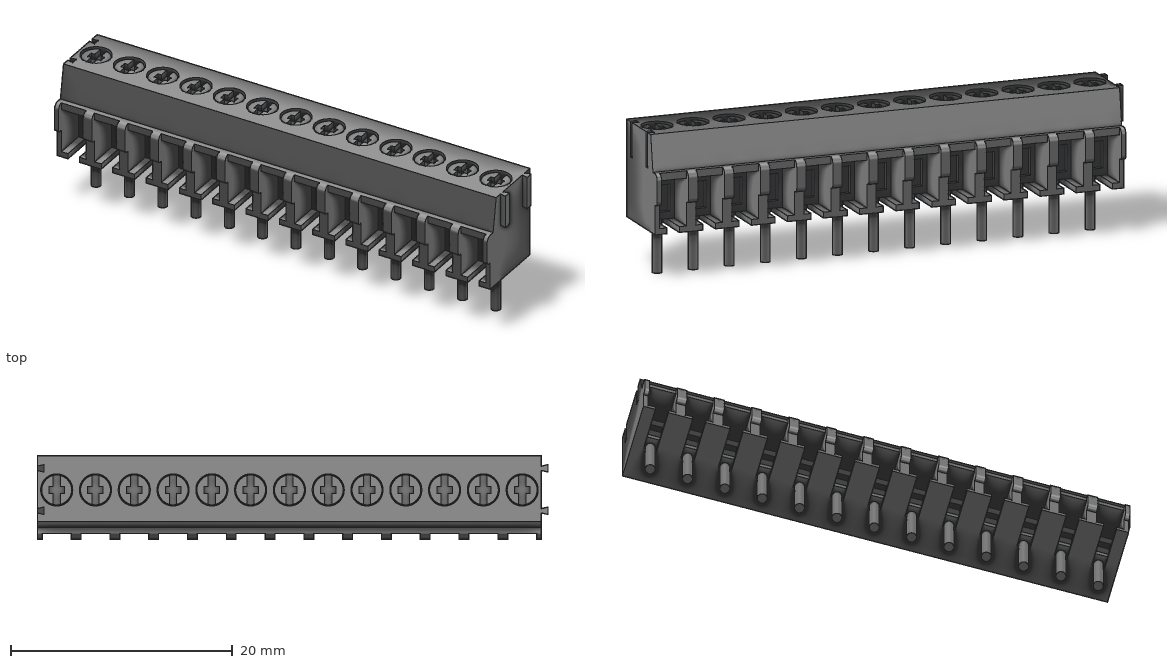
import cadquery as cq
import math

POLES = 13
PITCH = 3.5
END_MARGIN = 1.735
LEFT_X = -END_MARGIN
RIGHT_X = (POLES - 1) * PITCH + END_MARGIN
LENGTH = RIGHT_X - LEFT_X

HEIGHT = 9.1
SHELF_Z = 5.7
BACK_Y = 3.1
FRONT_Y = BACK_Y - 7.05
TOP_EDGE_Y = BACK_Y - 5.95
SHELF_EDGE_Y = BACK_Y - 6.5

RIB_FRONT_Y = BACK_Y - 7.55
RIB_BOTTOM_Z = 2.75
RIB_TOP_RADIUS = 0.6
RIB_BOTTOM_RADIUS = 0.4

ENTRY_WIDTH = 2.6
ENTRY_BOTTOM_Z = 0.55
ENTRY_TOP_Z = 5.0
ENTRY_DEPTH = 3.0
INNER_WIDTH = 1.75
INNER_BOTTOM_Z = 1.22
INNER_TOP_Z = 3.77
INNER_DEPTH = 0.5
NOTCH_WIDTH = 1.2

PIN_DIAMETER = 0.9
PIN_LENGTH = 4.6
PIN_TOP_Z = 1.0

SCREW_HOLE_DIAMETER = 2.9
SCREW_DIAMETER = 2.7
SCREW_RECESS = 0.2
SCREW_GAP_DEPTH = 1.5
SLOT_WIDTH = 0.65
CROSS_LENGTH = 1.4
SLOT_DEPTH = 0.6

DOVETAIL_POSITIONS = (BACK_Y - 1.15, BACK_Y - 4.98)
DOVETAIL_LENGTH = 0.6
DOVETAIL_NECK = 0.4
DOVETAIL_TIP = 0.7
DOVETAIL_HEIGHT = 3.3


def block(x_range, y_range, z_range):
    """Box between the given pairs of limits."""
    sizes = [limits[1] - limits[0] for limits in (x_range, y_range, z_range)]
    corner = (x_range[0], y_range[0], z_range[0])
    return cq.Workplane("XY").box(*sizes, centered=False).translate(corner)


def centred_block(x, width, y_range, z_range):
    """Box of the given width centred on x."""
    return block((x - width / 2, x + width / 2), y_range, z_range)


def make_housing():
    """Long body with a sloped upper front and a full-length ribbed band."""
    profile = [
        (BACK_Y, 0),
        (FRONT_Y, 0),
        (FRONT_Y, SHELF_Z),
        (SHELF_EDGE_Y, SHELF_Z),
        (TOP_EDGE_Y, HEIGHT),
        (BACK_Y, HEIGHT),
    ]
    body = cq.Workplane("YZ", origin=(LEFT_X, 0, 0)).polyline(profile).close().extrude(LENGTH)
    arc_centre_y = RIB_FRONT_Y + RIB_TOP_RADIUS
    arc_rise = math.sqrt(RIB_TOP_RADIUS**2 - (arc_centre_y - FRONT_Y) ** 2)
    band = (
        cq.Workplane("YZ", origin=(LEFT_X, 0, 0))
        .moveTo(FRONT_Y, RIB_BOTTOM_Z)
        .lineTo(FRONT_Y, SHELF_Z)
        .radiusArc((RIB_FRONT_Y, SHELF_Z - arc_rise), -RIB_TOP_RADIUS)
        .lineTo(RIB_FRONT_Y, RIB_BOTTOM_Z)
        .close()
        .extrude(LENGTH)
    )
    band = band.edges("<Y and <Z").fillet(RIB_BOTTOM_RADIUS)
    return body.union(band)


def wire_entry(x):
    """Stepped pocket, the gap it leaves in the ribbed band, and the notch leading to the pin."""
    back_y = FRONT_Y + ENTRY_DEPTH
    gap = centred_block(x, ENTRY_WIDTH, (RIB_FRONT_Y, FRONT_Y), (0, SHELF_Z))
    pocket = centred_block(x, ENTRY_WIDTH, (FRONT_Y, back_y), (ENTRY_BOTTOM_Z, ENTRY_TOP_Z))
    inner = centred_block(x, INNER_WIDTH, (back_y, back_y + INNER_DEPTH), (INNER_BOTTOM_Z, INNER_TOP_Z))
    notch = centred_block(x, NOTCH_WIDTH, (FRONT_Y, 0), (0, ENTRY_BOTTOM_Z))
    return gap.union(pocket).union(inner).union(notch)


def screw_recess(x):
    """Round hole above the screw, the ring around its head and the cross slots in it."""
    head_z = HEIGHT - SCREW_RECESS
    head_top = cq.Workplane("XY", origin=(x, 0, head_z))
    hole = head_top.circle(SCREW_HOLE_DIAMETER / 2).extrude(SCREW_RECESS)
    ring = head_top.circle(SCREW_HOLE_DIAMETER / 2).circle(SCREW_DIAMETER / 2).extrude(-SCREW_GAP_DEPTH)
    slot_limit = head_top.circle(SCREW_HOLE_DIAMETER / 2).extrude(-SLOT_DEPTH)
    long_slot = head_top.rect(SLOT_WIDTH, SCREW_HOLE_DIAMETER).extrude(-SLOT_DEPTH).intersect(slot_limit)
    cross_slot = head_top.rect(CROSS_LENGTH, SLOT_WIDTH).extrude(-SLOT_DEPTH)
    return hole.union(ring).union(long_slot).union(cross_slot)


def pin(x):
    """Solder pin running down from inside the housing."""
    return (
        cq.Workplane("XY", origin=(x, 0, -PIN_LENGTH))
        .circle(PIN_DIAMETER / 2)
        .extrude(PIN_LENGTH + PIN_TOP_Z)
    )


def dovetail(x, y):
    """Vertical dovetail that widens in +X from its neck at x."""
    outline = [
        (x, y - DOVETAIL_NECK / 2),
        (x + DOVETAIL_LENGTH, y - DOVETAIL_TIP / 2),
        (x + DOVETAIL_LENGTH, y + DOVETAIL_TIP / 2),
        (x, y + DOVETAIL_NECK / 2),
    ]
    base = cq.Workplane("XY", origin=(0, 0, HEIGHT - DOVETAIL_HEIGHT))
    return base.polyline(outline).close().extrude(DOVETAIL_HEIGHT)


result = make_housing()
for pole in range(POLES):
    pole_x = pole * PITCH
    result = result.cut(wire_entry(pole_x)).cut(screw_recess(pole_x))
    result = result.union(pin(pole_x))
for dovetail_y in DOVETAIL_POSITIONS:
    result = result.cut(dovetail(LEFT_X, dovetail_y))
    result = result.union(dovetail(RIGHT_X, dovetail_y))